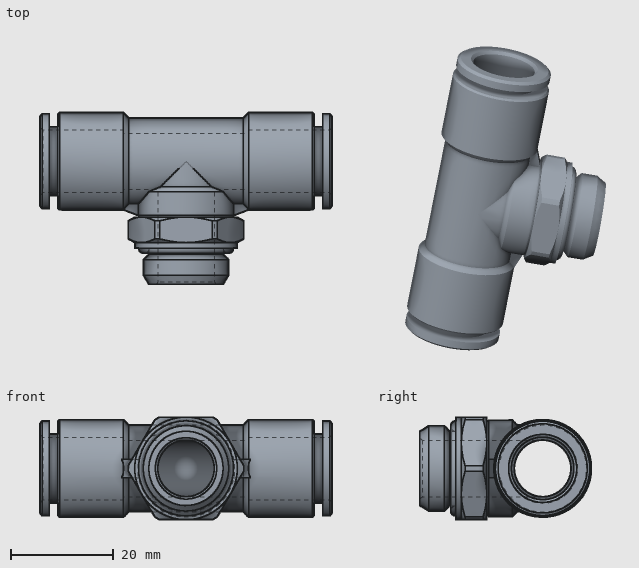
import cadquery as cq
import math


run_half_length = 28.5
sleeve_diameter = 19.05
waist_diameter = 17.0
collar_diameter = 18.5
collar_neck_diameter = 13.5
collar_thickness = 1.9
collar_chamfer_length = 0.45
collar_chamfer_height = 0.55
sleeve_outer_end = 24.95
sleeve_chamfer = 0.35
sleeve_inner_end = 12.2

bore_diameter = 11.0
socket_diameter = 12.2
socket_mouth_diameter = 13.3
branch_mouth_diameter = 11.95

hex_across_flats = 20.0
hex_corner_diameter = 22.5
hex_chamfer_angle = 30.0

hub_diameter = 18.85
hub_start = 5.9
hub_end = 10.55
hub_groove_diameter = 18.5
hex_start = 10.9
hex_end = 15.85
flange_diameter = hex_across_flats
flange_end = 16.95
seal_diameter = 18.5
thread_diameter = 16.65
thread_root_diameter = 14.5
relief_end = 18.1
thread_start = 19.15
thread_chamfer_start = 22.2
branch_end = 24.0

rib_width = 3.6
rib_slope_angle = 21.0
rib_outer_end = 13.1


def revolve_about_branch(points):
    """Turn an outline of (radius, distance) points about the branch axis."""
    outline = [(radius, -distance) for radius, distance in points]
    return cq.Workplane("XY").polyline(outline).close().revolve(360, (0, 0, 0), (0, 1, 0))


def revolve_about_run(half_outline):
    """Turn an outline of (x, radius) points, mirrored to -X, about the run axis."""
    mirrored = [(-x, radius) for x, radius in reversed(half_outline)]
    outline = mirrored + half_outline
    return cq.Workplane("XY").polyline(outline).close().revolve(360, (0, 0, 0), (1, 0, 0))


def make_run():
    """Solid run, turned about X and symmetric about the YZ plane."""
    waist_radius = waist_diameter / 2
    sleeve_radius = sleeve_diameter / 2
    collar_radius = collar_diameter / 2
    neck_radius = collar_neck_diameter / 2
    collar_inner_face = run_half_length - collar_thickness
    waist_end = sleeve_inner_end - (sleeve_radius - waist_radius)
    half_outline = [
        (waist_end, waist_radius),
        (sleeve_inner_end, sleeve_radius),
        (sleeve_outer_end - sleeve_chamfer, sleeve_radius),
        (sleeve_outer_end, sleeve_radius - sleeve_chamfer),
        (sleeve_outer_end, neck_radius),
        (collar_inner_face, neck_radius),
        (collar_inner_face, collar_radius),
        (run_half_length - collar_chamfer_length, collar_radius),
        (run_half_length, collar_radius - collar_chamfer_height),
        (run_half_length, 0),
    ]
    return revolve_about_run(half_outline)


def make_hub():
    """Stub that matches the waist, widened to a hub with a shallow groove below the hexagon."""
    stub_radius = waist_diameter / 2
    hub_radius = hub_diameter / 2
    groove_radius = hub_groove_diameter / 2
    return revolve_about_branch([
        (0, 0),
        (stub_radius, 0),
        (stub_radius, hub_start - (hub_radius - stub_radius)),
        (hub_radius, hub_start),
        (hub_radius, hub_end),
        (groove_radius, hub_end),
        (groove_radius, hex_start),
        (0, hex_start),
    ])


def make_hexagon():
    """Hexagon with flats facing +Z and -Z, rounded corners and both ends chamfered."""
    flat_radius = hex_across_flats / 2
    corner_radius = hex_corner_diameter / 2
    chamfer_length = (corner_radius - flat_radius) * math.tan(math.radians(hex_chamfer_angle))
    across_corners = hex_across_flats / math.cos(math.pi / 6)
    prism = (
        cq.Workplane("XZ", origin=(0, -hex_start, 0))
        .polygon(6, across_corners)
        .extrude(hex_end - hex_start)
    )
    envelope = revolve_about_branch([
        (0, hex_start),
        (flat_radius, hex_start),
        (corner_radius, hex_start + chamfer_length),
        (corner_radius, hex_end - chamfer_length),
        (flat_radius, hex_end),
        (0, hex_end),
    ])
    return prism.intersect(envelope)


def make_spigot():
    """Flange, half-round sealing ring, relief groove and plain thread envelope."""
    root_radius = thread_root_diameter / 2
    seal_outer = seal_diameter / 2
    seal_section_radius = (seal_outer - root_radius) / 2
    seal_crest = (root_radius + seal_section_radius, -flange_end - seal_section_radius)
    thread_radius = thread_diameter / 2
    flange_radius = flange_diameter / 2
    return (
        cq.Workplane("XY")
        .moveTo(0, -hex_end)
        .lineTo(flange_radius, -hex_end)
        .lineTo(flange_radius, -flange_end)
        .lineTo(seal_outer, -flange_end)
        .threePointArc(seal_crest, (root_radius, -flange_end))
        .lineTo(root_radius, -relief_end)
        .lineTo(thread_radius, -thread_start)
        .lineTo(thread_radius, -thread_chamfer_start)
        .lineTo(root_radius, -branch_end)
        .lineTo(0, -branch_end)
        .close()
        .revolve(360, (0, 0, 0), (0, 1, 0))
    )


def make_ribs():
    """Flat gussets on both sides of the hub, with a sloped edge falling back to the sleeves."""
    hub_radius = hub_diameter / 2
    slope_drop = (rib_outer_end - hub_radius) * math.tan(math.radians(rib_slope_angle))
    outline = [
        (-rib_outer_end, 0),
        (-rib_outer_end, slope_drop - hub_end),
        (-hub_radius, -hub_end),
        (hub_radius, -hub_end),
        (rib_outer_end, slope_drop - hub_end),
        (rib_outer_end, 0),
    ]
    return cq.Workplane("XY").polyline(outline).close().extrude(rib_width / 2, both=True)


def make_run_bore():
    """Through bore along X with a wider tube socket and a tapered mouth at each end."""
    bore_radius = bore_diameter / 2
    socket_radius = socket_diameter / 2
    mouth_radius = socket_mouth_diameter / 2
    mouth_depth = mouth_radius - socket_radius
    half_outline = [
        (sleeve_inner_end, bore_radius),
        (sleeve_inner_end, socket_radius),
        (run_half_length - mouth_depth, socket_radius),
        (run_half_length, mouth_radius),
        (run_half_length, 0),
    ]
    return revolve_about_run(half_outline)


def make_branch_bore():
    """Bore from the run axis out through the branch, chamfered at its mouth."""
    bore_radius = bore_diameter / 2
    mouth_radius = branch_mouth_diameter / 2
    return revolve_about_branch([
        (0, 0),
        (bore_radius, 0),
        (bore_radius, branch_end - (mouth_radius - bore_radius)),
        (mouth_radius, branch_end),
        (0, branch_end),
    ])


body = make_run().union(make_hub()).union(make_ribs()).union(make_hexagon()).union(make_spigot())
result = body.cut(make_run_bore()).cut(make_branch_bore())